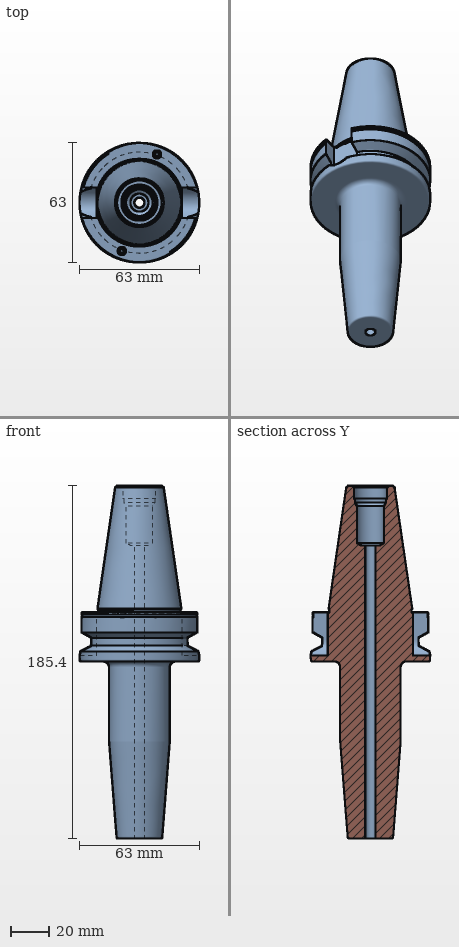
import cadquery as cq
import math


GAUGE_RADIUS = 44.45 / 2
TAPER_SLOPE = 7 / 24 / 2
SHANK_LENGTH = 65.4
SHANK_END_CHAMFER = 1.0
TAPER_START_Z = 0.8

NECK_RADIUS = 21.7
NECK_TOP_Z = 0.3
UNDERCUT_RADIUS = 23.1
UNDERCUT_DEPTH = 0.5
UNDERCUT_FILLET = 0.8

FLANGE_RADIUS = 63.0 / 2
FLANGE_TOP_Z = -1.0
FLANGE_BOTTOM_Z = -27.0
FLANGE_TOP_FILLET = 1.0
FLANGE_BOTTOM_FILLET = 1.0

RING_GROOVE_TOP_Z = -2.3
RING_GROOVE_BOTTOM_Z = -3.6
RING_GROOVE_DEPTH = 0.3

V_GROOVE_CENTRE_Z = -16.6
V_GROOVE_MOUTH = 10.0
V_GROOVE_RADIUS = 53.2 / 2
V_GROOVE_ROOT_FILLET = 0.5
V_GROOVE_WALL_ANGLE = 30.0

SLOT_WIDTH = 16.1
SLOT_BOTTOM_Z = -23.8
SLOT_FLOOR_X = 22.5

BODY_RADIUS = 32.0 / 2
BODY_FILLET = 3.0
NOSE_RADIUS = 24.0 / 2
NOSE_ANGLE = 4.5
NOSE_Z = -120.0
NOSE_FILLET = 1.0

MOUTH_CHAMFER = 1.0
PILOT_RADIUS = 17.0 / 2
PILOT_DEPTH = 6.8
RELIEF_RADIUS = 16.2 / 2
RELIEF_DEPTH = 8.8
THREAD_CORE_RADIUS = 14.0 / 2
THREAD_DEPTH = 30.0
CONE_END_RADIUS = 9.5 / 2
THREAD_LEAD_ANGLE = 60.0
DRILL_TIP_ANGLE = 31.0
COOLANT_RADIUS = 5.2 / 2

SCREW_CIRCLE_RADIUS = 27.0
SCREW_ANGLES = (70.0, 250.0)
SCREW_MOUTH_RADIUS = 4.3 / 2
SCREW_HOLE_RADIUS = 3.3 / 2
SCREW_RECESS = 1.0
SCREW_SOCKET_SIZE = 2.0
SCREW_SOCKET_DEPTH = 2.0


def taper_radius(z):
    return GAUGE_RADIUS - TAPER_SLOPE * z


def revolved(profile):
    return profile.close().revolve(360, (0, 0, 0), (0, 1, 0))


def arc_to(profile, centre, radius, start_angle, end_angle):
    """Add a circular arc from the current point, with angles in degrees."""
    def at(angle):
        a = math.radians(angle)
        return (centre[0] + radius * math.cos(a), centre[1] + radius * math.sin(a))

    return profile.threePointArc(at((start_angle + end_angle) / 2), at(end_angle))


def make_outer_body():
    groove_rise = (FLANGE_RADIUS - V_GROOVE_RADIUS) * math.tan(math.radians(V_GROOVE_WALL_ANGLE))
    groove_top = V_GROOVE_CENTRE_Z + V_GROOVE_MOUTH / 2
    groove_bottom = V_GROOVE_CENTRE_Z - V_GROOVE_MOUTH / 2
    undercut_z = FLANGE_TOP_Z - UNDERCUT_DEPTH
    ring_radius = FLANGE_RADIUS - RING_GROOVE_DEPTH
    nose_height = (BODY_RADIUS - NOSE_RADIUS) / math.tan(math.radians(NOSE_ANGLE))
    shank_end_radius = taper_radius(SHANK_LENGTH) - SHANK_END_CHAMFER
    chamfer_z = SHANK_LENGTH - SHANK_END_CHAMFER

    profile = (
        cq.Workplane("XZ")
        .moveTo(0, SHANK_LENGTH)
        .lineTo(shank_end_radius, SHANK_LENGTH)
        .lineTo(taper_radius(chamfer_z), chamfer_z)
        .lineTo(taper_radius(TAPER_START_Z), TAPER_START_Z)
        .lineTo(NECK_RADIUS, NECK_TOP_Z)
        .lineTo(NECK_RADIUS, undercut_z + UNDERCUT_FILLET)
    )
    undercut_centre = (NECK_RADIUS + UNDERCUT_FILLET, undercut_z + UNDERCUT_FILLET)
    profile = arc_to(profile, undercut_centre, UNDERCUT_FILLET, 180, 270)
    profile = (
        profile.lineTo(UNDERCUT_RADIUS, undercut_z)
        .lineTo(UNDERCUT_RADIUS, FLANGE_TOP_Z)
        .lineTo(FLANGE_RADIUS - FLANGE_TOP_FILLET, FLANGE_TOP_Z)
    )
    top_rim_centre = (FLANGE_RADIUS - FLANGE_TOP_FILLET, FLANGE_TOP_Z - FLANGE_TOP_FILLET)
    profile = arc_to(profile, top_rim_centre, FLANGE_TOP_FILLET, 90, 0)
    profile = (
        profile.lineTo(FLANGE_RADIUS, RING_GROOVE_TOP_Z)
        .lineTo(ring_radius, RING_GROOVE_TOP_Z)
        .lineTo(ring_radius, RING_GROOVE_BOTTOM_Z)
        .lineTo(FLANGE_RADIUS, RING_GROOVE_BOTTOM_Z)
        .lineTo(FLANGE_RADIUS, groove_top)
        .lineTo(V_GROOVE_RADIUS, groove_top - groove_rise)
        .lineTo(V_GROOVE_RADIUS, groove_bottom + groove_rise)
        .lineTo(FLANGE_RADIUS, groove_bottom)
        .lineTo(FLANGE_RADIUS, FLANGE_BOTTOM_Z + FLANGE_BOTTOM_FILLET)
    )
    rim_centre = (FLANGE_RADIUS - FLANGE_BOTTOM_FILLET, FLANGE_BOTTOM_Z + FLANGE_BOTTOM_FILLET)
    profile = arc_to(profile, rim_centre, FLANGE_BOTTOM_FILLET, 0, -90)
    root_centre = (BODY_RADIUS + BODY_FILLET, FLANGE_BOTTOM_Z - BODY_FILLET)
    profile = arc_to(profile.lineTo(root_centre[0], FLANGE_BOTTOM_Z), root_centre, BODY_FILLET, 90, 180)
    profile = (
        profile.lineTo(BODY_RADIUS, NOSE_Z + nose_height)
        .lineTo(NOSE_RADIUS, NOSE_Z)
        .lineTo(0, NOSE_Z)
    )
    body = revolved(profile)
    body = body.faces("<Z").edges().fillet(NOSE_FILLET)
    groove_root = cq.selectors.BoxSelector(
        (-FLANGE_RADIUS, -FLANGE_RADIUS, groove_bottom + groove_rise / 2),
        (FLANGE_RADIUS, FLANGE_RADIUS, groove_top - groove_rise / 2),
    )
    return body.edges("%CIRCLE").edges(groove_root).fillet(V_GROOVE_ROOT_FILLET)


def make_bore():
    pilot_z = SHANK_LENGTH - PILOT_DEPTH
    cone_z = SHANK_LENGTH - THREAD_DEPTH
    cone_height = (THREAD_CORE_RADIUS - CONE_END_RADIUS) * math.tan(math.radians(DRILL_TIP_ANGLE))
    relief_z = SHANK_LENGTH - RELIEF_DEPTH
    lead_height = (RELIEF_RADIUS - THREAD_CORE_RADIUS) * math.tan(math.radians(THREAD_LEAD_ANGLE))
    return revolved(
        cq.Workplane("XZ")
        .moveTo(0, SHANK_LENGTH)
        .lineTo(PILOT_RADIUS + MOUTH_CHAMFER, SHANK_LENGTH)
        .lineTo(PILOT_RADIUS, SHANK_LENGTH - MOUTH_CHAMFER)
        .lineTo(PILOT_RADIUS, pilot_z)
        .lineTo(RELIEF_RADIUS, pilot_z)
        .lineTo(RELIEF_RADIUS, relief_z)
        .lineTo(THREAD_CORE_RADIUS, relief_z - lead_height)
        .lineTo(THREAD_CORE_RADIUS, cone_z)
        .lineTo(CONE_END_RADIUS, cone_z - cone_height)
        .lineTo(COOLANT_RADIUS, cone_z - cone_height)
        .lineTo(COOLANT_RADIUS, NOSE_Z)
        .lineTo(0, NOSE_Z)
    )


def make_drive_slot(side):
    """Round-bottomed keyway on the +X (side = 1) or -X (side = -1) side."""
    radius = SLOT_WIDTH / 2
    arc_z = SLOT_BOTTOM_Z + radius
    return (
        cq.Workplane("YZ", origin=(side * SLOT_FLOOR_X, 0, 0))
        .moveTo(-radius, FLANGE_TOP_Z)
        .lineTo(-radius, arc_z)
        .threePointArc((0, SLOT_BOTTOM_Z), (radius, arc_z))
        .lineTo(radius, FLANGE_TOP_Z)
        .close()
        .extrude(side * FLANGE_RADIUS)
    )


def make_screw_hole(angle):
    """Countersunk recess down to the face of a set screw, with the hexagon socket of the screw."""
    a = math.radians(angle)
    countersink_depth = SCREW_MOUTH_RADIUS - SCREW_HOLE_RADIUS
    recess = revolved(
        cq.Workplane("XZ")
        .lineTo(SCREW_MOUTH_RADIUS, 0)
        .lineTo(SCREW_HOLE_RADIUS, -countersink_depth)
        .lineTo(SCREW_HOLE_RADIUS, -SCREW_RECESS)
        .lineTo(0, -SCREW_RECESS)
    )
    socket_diameter = SCREW_SOCKET_SIZE / math.cos(math.radians(30))
    socket = (
        cq.Workplane("XY")
        .polygon(6, socket_diameter)
        .extrude(-SCREW_RECESS - SCREW_SOCKET_DEPTH)
    )
    hole = recess.union(socket).rotate((0, 0, 0), (0, 0, 1), angle)
    x = SCREW_CIRCLE_RADIUS * math.cos(a)
    y = SCREW_CIRCLE_RADIUS * math.sin(a)
    return hole.translate((x, y, FLANGE_TOP_Z))


result = make_outer_body().cut(make_bore())
for side in (1, -1):
    result = result.cut(make_drive_slot(side))
for angle in SCREW_ANGLES:
    result = result.cut(make_screw_hole(angle))